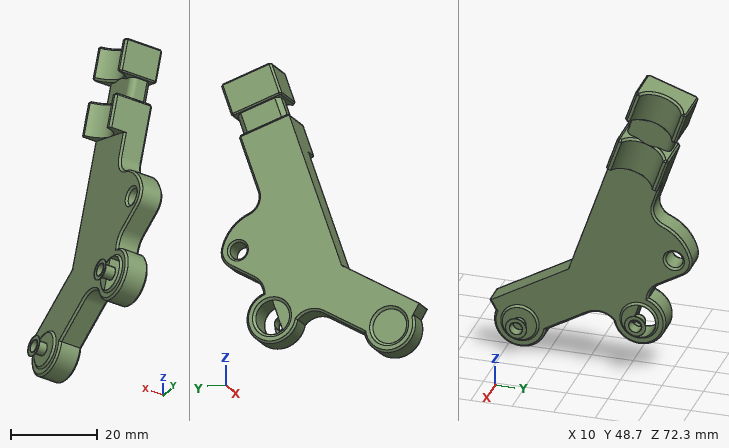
import cadquery as cq
import math

PLATE_THICKNESS = 6.0
HEAD_DEPTH = 10.0
CHAMFER = 0.5
TOLERANCE = 0.01

ARM_TILT = 19.0
LEG_SLOPE = 30.0

ARM_NEAR = 6.6
ARM_WIDTH = 13.0
ARM_FAR = ARM_NEAR + ARM_WIDTH
ARM_MIDDLE = ARM_NEAR + ARM_WIDTH / 2
SHOULDER_TOP = 44.55
PAD_HEIGHT = 8.5
HEAD_BOTTOM = 49.75
HEAD_HEIGHT = 8.2
HEAD_END_CHAMFER = 0.35
NECK_WIDTH = 11.1
NECK_BACK = 0.95
NECK_BACK_CHAMFER = 1.15
NECK_FRONT_RADIUS = 1.5
NECK_EMBED = 0.7
GROOVE_RADIUS = 5.5

LEG_UNDERSIDE = 6.1
LEG_TOP = 17.8
TOE_RUN = 31.4
FOOT_RUN = 27.3
FOOT_RISE = 10.05
SCALLOP_RADIUS = 5.0
SCALLOP_RUNS = (-8.9, 10.85)

EYE_RADIUS = 6.3
POCKET_RADIUS = 4.1
POCKET_RIM_RADIUS = 4.8
POCKET_DEPTH = CHAMFER
WINDOW_EDGE = 1.2
BOSS_HEIGHT = 0.5
PIN_END = 9.25
PIN_RADIUS = 1.6
PIN_BORE_RADIUS = 1.5
FLANGE_RADIUS = 2.5
FLANGE_THICKNESS = 0.15

LUG_RUN = -15.6
LUG_RADIUS = 4.3
LUG_HOLE_RADIUS = 4.1 / 2
BULGE_ACROSS = 3.5
BULGE_ALONG = 14.7
ARMPIT_RADIUS = 4.0


def arm_point(across, along):
    tilt = math.radians(ARM_TILT)
    y = -across * math.cos(tilt) + along * math.sin(tilt)
    z = across * math.sin(tilt) + along * math.cos(tilt)
    return (y, z)


def leg_point(run, rise):
    slope = math.radians(LEG_SLOPE)
    y = -run * math.cos(slope) - rise * math.sin(slope)
    z = -run * math.sin(slope) + rise * math.cos(slope)
    return (y, z)


def toward(start, target, distance):
    """Point at a distance from start on the ray to target."""
    ratio = distance / math.dist(start, target)
    return (start[0] + ratio * (target[0] - start[0]), start[1] + ratio * (target[1] - start[1]))


def arc_middle(center, radius, start, end):
    """Middle of the shorter arc from start to end."""
    chord_middle = ((start[0] + end[0]) / 2, (start[1] + end[1]) / 2)
    return toward(center, chord_middle, radius)


def arm_block(across, width, along, height, back, front):
    """Box aligned with the arm, between two X positions."""
    center = arm_point(across + width / 2, along + height / 2)
    return (
        cq.Workplane("XY")
        .box(front - back, width, height)
        .rotate((0, 0, 0), (1, 0, 0), -ARM_TILT)
        .translate(((back + front) / 2, *center))
    )


def cylinder(center, radius, back, front):
    return cq.Workplane("YZ", origin=(back, 0, 0)).center(*center).circle(radius).extrude(front - back)


def cone(center, back_radius, front_radius, back, front):
    """Cone along +X."""
    solid = cq.Solid.makeCone(
        back_radius, front_radius, front - back, cq.Vector(back, *center), cq.Vector(1, 0, 0)
    )
    return cq.Workplane(obj=solid)


RING = (0.0, 0.0)
FOOT = leg_point(FOOT_RUN, FOOT_RISE)
LUG = leg_point(LUG_RUN, LEG_UNDERSIDE + LUG_RADIUS)
BULGE = arm_point(BULGE_ACROSS, BULGE_ALONG)
BULGE_RADIUS = math.dist(BULGE, LUG) + LUG_RADIUS
HEAD_TOP = HEAD_BOTTOM + HEAD_HEIGHT
PAD_BOTTOM = SHOULDER_TOP - PAD_HEIGHT
BOSS_END = PLATE_THICKNESS + BOSS_HEIGHT

armpit_across = ARM_NEAR - ARMPIT_RADIUS
armpit_reach = BULGE_RADIUS + ARMPIT_RADIUS
armpit_along = BULGE_ALONG + math.sqrt(armpit_reach**2 - (armpit_across - BULGE_ACROSS) ** 2)
ARMPIT = arm_point(armpit_across, armpit_along)


def elbow_point():
    """Where the far side of the arm meets the top of the leg."""
    tilt = math.radians(ARM_TILT)
    slope = math.radians(LEG_SLOPE)
    opening = math.cos(tilt + slope)
    y = (LEG_TOP * math.sin(tilt) - ARM_FAR * math.cos(slope)) / opening
    z = (LEG_TOP * math.cos(tilt) - ARM_FAR * math.sin(slope)) / opening
    return (y, z)


def plate():
    armpit_start = arm_point(ARM_NEAR, armpit_along)
    armpit_end = toward(ARMPIT, BULGE, ARMPIT_RADIUS)
    bulge_end = toward(BULGE, LUG, BULGE_RADIUS)
    lug_end = leg_point(LUG_RUN, LEG_UNDERSIDE)
    scallop_starts = [leg_point(run, LEG_UNDERSIDE) for run in SCALLOP_RUNS]
    scallops = [leg_point(run, LEG_UNDERSIDE - SCALLOP_RADIUS) for run in SCALLOP_RUNS]
    scallop_ends = [toward(center, RING, SCALLOP_RADIUS) for center in scallops]
    scallop_middles = [
        arc_middle(center, SCALLOP_RADIUS, start, end)
        for center, start, end in zip(scallops, scallop_starts, scallop_ends)
    ]
    body = (
        cq.Workplane("YZ")
        .moveTo(*elbow_point())
        .lineTo(*arm_point(ARM_FAR, PAD_BOTTOM))
        .lineTo(*arm_point(ARM_NEAR, PAD_BOTTOM))
        .lineTo(*armpit_start)
        .threePointArc(arc_middle(ARMPIT, ARMPIT_RADIUS, armpit_start, armpit_end), armpit_end)
        .threePointArc(arc_middle(BULGE, BULGE_RADIUS, armpit_end, bulge_end), bulge_end)
        .threePointArc(arc_middle(LUG, LUG_RADIUS, bulge_end, lug_end), lug_end)
        .lineTo(*scallop_starts[0])
        .threePointArc(scallop_middles[0], scallop_ends[0])
        .lineTo(*scallop_ends[1])
        .threePointArc(scallop_middles[1], scallop_starts[1])
        .lineTo(*leg_point(TOE_RUN, LEG_UNDERSIDE))
        .lineTo(*leg_point(TOE_RUN, LEG_TOP))
        .close()
        .extrude(PLATE_THICKNESS)
    )
    body = body.edges().filter(is_plate_chamfer).chamfer(CHAMFER)
    for eye in (RING, FOOT):
        body = body.union(cylinder(eye, EYE_RADIUS, 0, PLATE_THICKNESS).edges("%CIRCLE").chamfer(CHAMFER))
    return body


def is_plate_chamfer(edge):
    """Flat-side edges from the arm's near side to the leg's underside, and the toe's +X edge."""
    middle = edge.Center()
    lies_flat = same(middle.x, 0) or same(middle.x, PLATE_THICKNESS)
    is_curved = edge.geomType() == "CIRCLE"
    is_near_side = same(across_of(middle), ARM_NEAR)
    is_underside = same(rise_of(middle), LEG_UNDERSIDE)
    is_toe_front = same(run_of(middle), TOE_RUN) and same(middle.x, PLATE_THICKNESS)
    return is_toe_front or (lies_flat and (is_curved or is_near_side or is_underside))


def same(first, second):
    return abs(first - second) < TOLERANCE


def across_of(point):
    tilt = math.radians(ARM_TILT)
    return point.z * math.sin(tilt) - point.y * math.cos(tilt)


def along_of(point):
    tilt = math.radians(ARM_TILT)
    return point.z * math.cos(tilt) + point.y * math.sin(tilt)


def rise_of(point):
    slope = math.radians(LEG_SLOPE)
    return point.z * math.cos(slope) - point.y * math.sin(slope)


def run_of(point):
    slope = math.radians(LEG_SLOPE)
    return -point.z * math.sin(slope) - point.y * math.cos(slope)


def shoulder():
    block = arm_block(ARM_NEAR, ARM_WIDTH, PAD_BOTTOM, PAD_HEIGHT, 0, HEAD_DEPTH)
    return block.edges().filter(is_shoulder_chamfer).chamfer(CHAMFER)


def is_shoulder_chamfer(edge):
    """All edges except the lower rim and the upright at the far side of the flat -X face."""
    middle = edge.Center()
    is_far_upright = same(across_of(middle), ARM_FAR) and same(middle.x, 0)
    on_top = same(along_of(middle), SHOULDER_TOP)
    on_bottom = same(along_of(middle), PAD_BOTTOM)
    return on_top or not (on_bottom or is_far_upright)


def head():
    block = arm_block(ARM_NEAR, ARM_WIDTH, HEAD_BOTTOM, HEAD_HEIGHT, 0, HEAD_DEPTH)
    uprights = block.edges().filter(lambda edge: same(edge.Length(), HEAD_HEIGHT))
    block = uprights.chamfer(CHAMFER)
    return block.edges().filter(is_head_rim).chamfer(HEAD_END_CHAMFER)


def is_head_rim(edge):
    along = along_of(edge.Center())
    return same(along, HEAD_BOTTOM) or same(along, HEAD_TOP)


def neck():
    height = HEAD_BOTTOM - SHOULDER_TOP + 2 * NECK_EMBED
    near = ARM_MIDDLE - NECK_WIDTH / 2
    block = arm_block(near, NECK_WIDTH, SHOULDER_TOP - NECK_EMBED, height, NECK_BACK, PLATE_THICKNESS)
    uprights = block.edges().filter(lambda edge: same(edge.Length(), height))
    block = uprights.filter(lambda edge: same(edge.Center().x, NECK_BACK)).chamfer(NECK_BACK_CHAMFER)
    uprights = block.edges().filter(lambda edge: same(edge.Length(), height))
    return uprights.filter(lambda edge: same(edge.Center().x, PLATE_THICKNESS)).fillet(NECK_FRONT_RADIUS)


def arm_cone(along, height, start_radius, end_radius):
    """Cone or cylinder round the groove's axis."""
    x = PLATE_THICKNESS + GROOVE_RADIUS
    base = cq.Vector(x, *arm_point(ARM_MIDDLE, along))
    direction = cq.Vector(0, *arm_point(0, 1))
    if same(start_radius, end_radius):
        return cq.Workplane(obj=cq.Solid.makeCylinder(start_radius, height, base, direction))
    return cq.Workplane(obj=cq.Solid.makeCone(start_radius, end_radius, height, base, direction))


def groove():
    wide = GROOVE_RADIUS + CHAMFER
    cutter = arm_cone(PAD_BOTTOM, HEAD_TOP - PAD_BOTTOM, GROOVE_RADIUS, GROOVE_RADIUS)
    cutter = cutter.union(arm_cone(HEAD_BOTTOM, CHAMFER, wide, GROOVE_RADIUS))
    for top in (SHOULDER_TOP, HEAD_TOP):
        cutter = cutter.union(arm_cone(top - CHAMFER, CHAMFER, GROOVE_RADIUS, wide))
    return cutter


def eye_boss(eye):
    return cone(eye, POCKET_RADIUS + BOSS_HEIGHT, POCKET_RADIUS, PLATE_THICKNESS, BOSS_END)


def eye_pocket(eye):
    return cone(eye, POCKET_RIM_RADIUS, POCKET_RADIUS, 0, POCKET_DEPTH)


def ring_window():
    """The part of the ring's bore on the near side of the window edge."""
    bore = cylinder(RING, POCKET_RADIUS, 0, BOSS_END)
    size = 2 * EYE_RADIUS
    return bore.intersect(arm_block(WINDOW_EDGE - size, size, -EYE_RADIUS, size, 0, BOSS_END))


def eye_pin(eye):
    """Thin tube with a flange at its free end."""
    pin = cylinder(eye, PIN_RADIUS, PLATE_THICKNESS, PIN_END)
    pin = pin.union(cylinder(eye, FLANGE_RADIUS, PIN_END - FLANGE_THICKNESS, PIN_END))
    return pin.cut(cylinder(eye, PIN_BORE_RADIUS, PLATE_THICKNESS, PIN_END))


def lug_hole():
    wide = LUG_HOLE_RADIUS + CHAMFER
    hole = cylinder(LUG, LUG_HOLE_RADIUS, 0, PLATE_THICKNESS)
    hole = hole.union(cone(LUG, wide, LUG_HOLE_RADIUS, 0, CHAMFER))
    return hole.union(cone(LUG, LUG_HOLE_RADIUS, wide, PLATE_THICKNESS - CHAMFER, PLATE_THICKNESS))


body = plate().union(shoulder())
body = body.union(head()).cut(groove()).union(neck())
for eye in (RING, FOOT):
    body = body.union(eye_boss(eye)).cut(eye_pocket(eye))
body = body.cut(ring_window())
for eye in (RING, FOOT):
    body = body.union(eye_pin(eye))
result = body.cut(lug_hole())